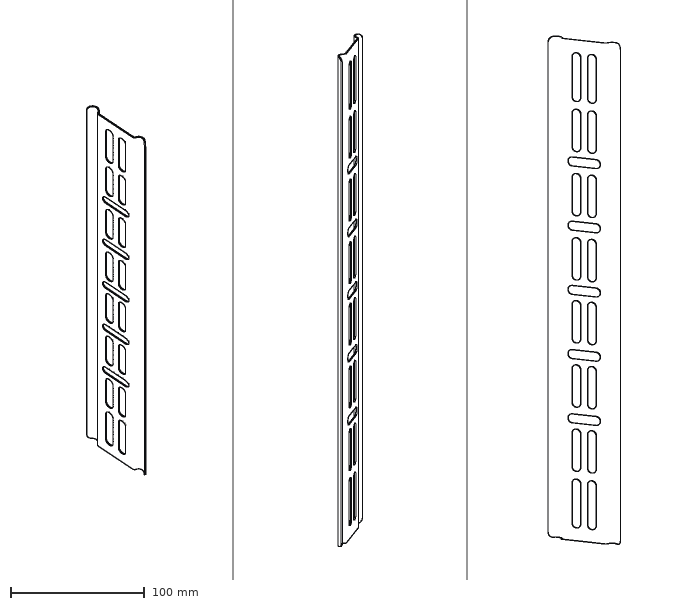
import cadquery as cq
import math

length = 390.0
overall_width = 58.37
depth = 5.0
thickness = 1.0
lip_corner_radius = 4.2

bead_inner_radius = 4.0
bead_outer_radius = bead_inner_radius + thickness
bend_outer_radius = 2.0
bend_inner_radius = bend_outer_radius - thickness
lip_angle = 43.0

slot_width = 7.0
slot_column_offset = 6.25
slot_pitch = 50.0
cross_slot_length = 26.0
cross_slot_count = 5
long_slot_length = 33.0
long_slot_first_z = 24.5
long_slots_per_half = 3
end_slot_length = 38.0
end_slot_margin = 10.0

rise = math.acos(1 - (depth - thickness) / (bead_inner_radius + bend_outer_radius))
lip = math.radians(lip_angle)
bead_centre_y = depth - bead_outer_radius
lip_arc_end_y = bead_centre_y + bead_inner_radius * math.cos(lip)
lip_run = lip_arc_end_y / math.tan(lip)
lip_tip_offset = bead_inner_radius * math.sin(lip) + lip_run
bead_centre_x = overall_width / 2 - lip_tip_offset - thickness * math.sin(lip)
web_half_width = bead_centre_x - (bead_inner_radius + bend_outer_radius) * math.sin(rise)
end_slot_z = length / 2 - end_slot_margin - end_slot_length / 2


def bead_point(radius, angle):
    """Point on the bead at an angle from its crest, positive towards the sheet edge."""
    return (
        bead_centre_x + radius * math.sin(angle),
        bead_centre_y + radius * math.cos(angle),
    )


def bend_point(radius, angle):
    """Point on the bend between web and bead at an angle from the web."""
    return (
        web_half_width + radius * math.sin(angle),
        bend_outer_radius - radius * math.cos(angle),
    )


def half_sheet():
    """Right half of the sheet, from the mid-plane to the lip, extruded along Z."""
    lip_inner_tip = (bead_centre_x + lip_tip_offset, 0)
    lip_outer_tip = (overall_width / 2, thickness * math.cos(lip))
    arc_middle = (lip - rise) / 2
    profile = (
        cq.Workplane("XY")
        .moveTo(0, 0)
        .lineTo(web_half_width, 0)
        .threePointArc(bend_point(bend_outer_radius, rise / 2), bend_point(bend_outer_radius, rise))
        .threePointArc(bead_point(bead_inner_radius, arc_middle), bead_point(bead_inner_radius, lip))
        .lineTo(*lip_inner_tip)
        .lineTo(*lip_outer_tip)
        .lineTo(*bead_point(bead_outer_radius, lip))
        .threePointArc(bead_point(bead_outer_radius, arc_middle), bead_point(bead_outer_radius, -rise))
        .threePointArc(bend_point(bend_inner_radius, rise / 2), bend_point(bend_inner_radius, 0))
        .lineTo(0, thickness)
        .close()
    )
    return profile.extrude(length / 2, both=True)


def round_lip_corners(sheet, side):
    """Rounds both lip corners of one side (+1 right, -1 left), square to the lip."""
    lip_normal = cq.Vector(side * math.sin(lip), math.cos(lip), 0)
    tip_edges = sheet.edges(cq.selectors.ParallelDirSelector(lip_normal))
    return tip_edges.fillet(lip_corner_radius)


def slots(places, slot_length, angle):
    """Through-cutting slots at (x, z) places; an angle of 90 runs them along Z."""
    plane = cq.Workplane("XZ").pushPoints(places)
    return plane.slot2D(slot_length, slot_width, angle).extrude(depth, both=True)


def slot_columns(heights):
    """Places in both slot columns, at the given heights above and below the middle."""
    return [(sx * slot_column_offset, sz * z) for sx in (-1, 1) for sz in (-1, 1) for z in heights]


right_half = half_sheet()
sheet = right_half.union(right_half.mirror("YZ")).clean()
for side in (-1, 1):
    sheet = round_lip_corners(sheet, side)

first_cross_z = -slot_pitch * (cross_slot_count - 1) / 2
cross_places = [(0, first_cross_z + i * slot_pitch) for i in range(cross_slot_count)]
sheet = sheet.cut(slots(cross_places, cross_slot_length, 0))

long_heights = [long_slot_first_z + i * slot_pitch for i in range(long_slots_per_half)]
sheet = sheet.cut(slots(slot_columns(long_heights), long_slot_length, 90))
sheet = sheet.cut(slots(slot_columns([end_slot_z]), end_slot_length, 90))

result = sheet